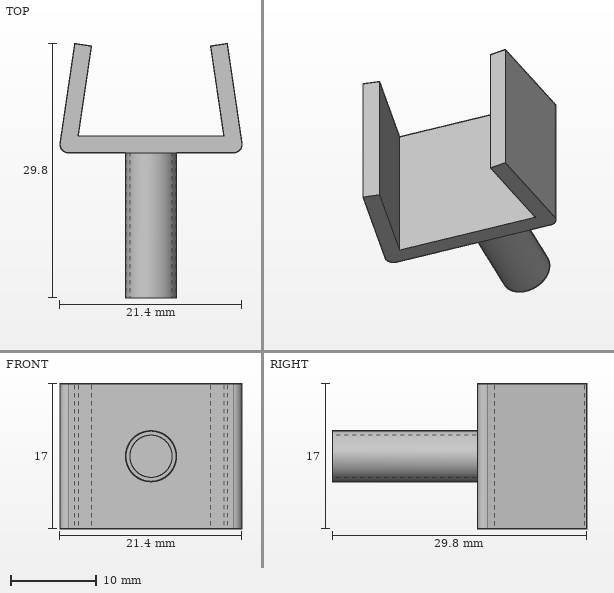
import cadquery as cq
import math

clip_width = 21.35
clip_depth = 12.8
clip_height = 17.0
plate_thickness = 2.0
bend_radius = 1.0
arm_lean = math.radians(8.4)

stud_length = 17.0
stud_diameter = 6.0
core_diameter = 4.95
sleeve_wall = 0.05


def make_clip():
    """Extrude the U outline; its base lies on Y = 0 and its arms point to +Y."""
    lean_sin = math.sin(arm_lean)
    lean_cos = math.cos(arm_lean)

    bend_x = clip_width / 2 - bend_radius
    bend_end_x = bend_x + bend_radius * lean_cos
    bend_end_y = bend_radius + bend_radius * lean_sin
    bend_mid_angle = (arm_lean - math.pi / 2) / 2
    bend_mid_x = bend_x + bend_radius * math.cos(bend_mid_angle)
    bend_mid_y = bend_radius + bend_radius * math.sin(bend_mid_angle)

    tip_outer_x = bend_end_x - (clip_depth - bend_end_y) * math.tan(arm_lean)
    tip_inner_x = tip_outer_x - plate_thickness * lean_cos
    tip_inner_y = clip_depth - plate_thickness * lean_sin

    corner_x = tip_inner_x + (tip_inner_y - plate_thickness) * math.tan(arm_lean)

    half_clip = (
        cq.Workplane("XY")
        .workplane(offset=-clip_height / 2)
        .moveTo(0, 0)
        .lineTo(bend_x, 0)
        .threePointArc((bend_mid_x, bend_mid_y), (bend_end_x, bend_end_y))
        .lineTo(tip_outer_x, clip_depth)
        .lineTo(tip_inner_x, tip_inner_y)
        .lineTo(corner_x, plate_thickness)
        .lineTo(0, plate_thickness)
        .close()
        .extrude(clip_height)
    )
    return half_clip.union(half_clip.mirror("YZ")).clean()


def make_stud():
    """Core and sleeve running from the base towards -Y, with an open gap between them."""
    base_face = cq.Workplane("XZ")
    core = base_face.circle(core_diameter / 2).extrude(stud_length)
    sleeve = (
        base_face.circle(stud_diameter / 2)
        .circle(stud_diameter / 2 - sleeve_wall)
        .extrude(stud_length)
    )
    return core, sleeve


stud_core, stud_sleeve = make_stud()
result = make_clip().union(stud_core).union(stud_sleeve)